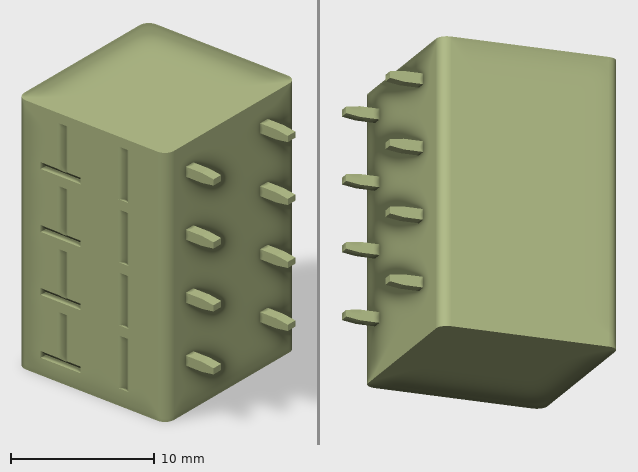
import cadquery as cq
import math

height = 21.4
body_x = 13.5
body_y = 14.4
corner_radius = 0.81

pole_count = 4
pole_pitch = 5.0

pin_reach = 2.5
pin_straight = 1.45
pin_height = 0.8
pin_width = 0.83
pin_tip_height = 0.5
pin_spacing = 8.22
pin_center_y = -0.55
top_pin_z = 19.2

groove_width = 1.05
groove_height = 4.2
groove_wall_angle = math.radians(50)
top_groove_base_z = 16.41
slot_groove_x = -2.63
slot_x = -2.8
plain_groove_x = 2.87
slot_width = 3.6
slot_height = 0.54
slot_depth = 0.58

front_y = -body_y / 2
pole_drops = [i * pole_pitch for i in range(pole_count)]


def make_body():
    block = cq.Workplane("XY").box(body_x, body_y, height, centered=(True, True, False))
    return block.edges("|Z").fillet(corner_radius)


def make_pin(center_y, center_z):
    """Flat pin rooted on the +X face, narrowing in height towards its tip."""
    root_x = body_x / 2
    upper_points = [
        (root_x, pin_height / 2),
        (root_x + pin_straight, pin_height / 2),
        (root_x + pin_reach, pin_tip_height / 2),
    ]
    lower_points = [(x, -z) for x, z in reversed(upper_points)]
    profile = cq.Workplane("XZ").polyline(upper_points + lower_points).close()
    return profile.extrude(pin_width / 2, both=True).translate((0, center_y, center_z))


def make_groove(center_x, base_z):
    """Upright trough: a hollow arc that rolls over to the face through a rounded lip on each side."""
    quarter = groove_width / 4
    radius = quarter / math.sin(groove_wall_angle)
    arc_depth = radius * (1 - math.cos(groove_wall_angle))
    half_step = radius * math.sin(groove_wall_angle / 2)
    half_sag = radius * (1 - math.cos(groove_wall_angle / 2))
    edge = groove_width / 2
    profile = (
        cq.Workplane("XY", origin=(center_x, front_y, base_z))
        .moveTo(-edge, 0)
        .threePointArc((-edge + half_step, half_sag), (-quarter, arc_depth))
        .threePointArc((0, 2 * arc_depth), (quarter, arc_depth))
        .threePointArc((edge - half_step, half_sag), (edge, 0))
        .close()
    )
    return profile.extrude(groove_height)


def make_slot(center_x, base_z):
    """Wedge-shaped slot with a level floor and a roof that slopes down inwards."""
    profile = (
        cq.Workplane("YZ", origin=(center_x, front_y, base_z))
        .polyline([(0, 0), (slot_depth, 0), (0, slot_height)])
        .close()
    )
    return profile.extrude(slot_width / 2, both=True)


result = make_body()
for drop in pole_drops:
    groove_base_z = top_groove_base_z - drop
    result = result.cut(make_groove(slot_groove_x, groove_base_z))
    result = result.cut(make_groove(plain_groove_x, groove_base_z))
    result = result.cut(make_slot(slot_x, groove_base_z))
    for side in (-1, 1):
        pin_y = pin_center_y + side * pin_spacing / 2
        result = result.union(make_pin(pin_y, top_pin_z - drop))